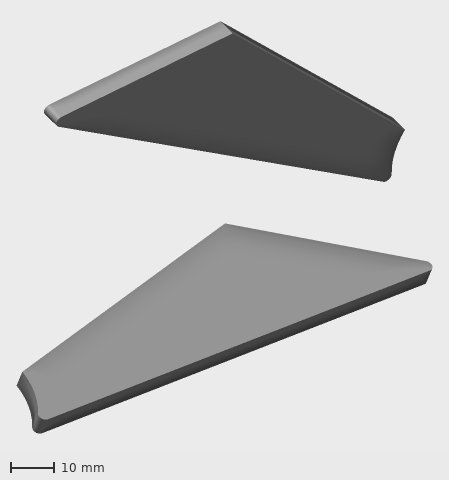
import cadquery as cq
import math

thickness = 5.0
length = 98.84
height = 71.87
top_edge_length = 50.0
rear_slope = 50.0
lower_slope = 36.8
tip_radius = 1.5
hollow_radius = 19.5


def polar(center, radius, degrees):
    """Point (y, z) on a circle, at an angle measured from +Y towards +Z."""
    angle = math.radians(degrees)
    return (center[0] + radius * math.cos(angle), center[1] + radius * math.sin(angle))


def bearing(start, end):
    """Direction from start to end, in degrees from +Y towards +Z."""
    return math.degrees(math.atan2(end[1] - start[1], end[0] - start[0]))


def hollow_center(rear_corner, bottom_center):
    """Centre of the concave arc that meets the rear corner and is tangent to the bottom tip."""
    to_corner = hollow_radius
    to_bottom = hollow_radius + tip_radius
    span = math.dist(rear_corner, bottom_center)
    cosine = (span**2 + to_corner**2 - to_bottom**2) / (2 * span * to_corner)
    turn = math.degrees(math.acos(cosine))
    return polar(rear_corner, to_corner, bearing(rear_corner, bottom_center) + turn)


def plate_outline():
    """Closed outline in the YZ plane: front tip at Y = 0, bottom tip at Z = 0."""
    top_corner = (top_edge_length, height)
    rear_drop = (length - top_edge_length) * math.tan(math.radians(rear_slope))
    rear_corner = (length, height - rear_drop)

    front_center = (tip_radius, height - tip_radius)
    center_drop = height - 2 * tip_radius
    center_run = center_drop / math.tan(math.radians(lower_slope))
    bottom_center = (tip_radius + center_run, tip_radius)
    lower_normal = -90 - lower_slope

    arc_center = hollow_center(rear_corner, bottom_center)
    tangent_bearing = bearing(bottom_center, arc_center)
    hollow_end = polar(bottom_center, tip_radius, tangent_bearing)
    start_bearing = bearing(arc_center, rear_corner) % 360
    end_bearing = bearing(arc_center, hollow_end) % 360
    hollow_middle = polar(arc_center, hollow_radius, (start_bearing + end_bearing) / 2)

    bottom_middle = polar(bottom_center, tip_radius, -90)
    bottom_end = polar(bottom_center, tip_radius, lower_normal)
    front_start = polar(front_center, tip_radius, lower_normal)
    front_middle = polar(front_center, tip_radius, 180)
    front_end = polar(front_center, tip_radius, 90)

    return (
        cq.Workplane("YZ")
        .moveTo(*top_corner)
        .lineTo(*rear_corner)
        .threePointArc(hollow_middle, hollow_end)
        .threePointArc(bottom_middle, bottom_end)
        .lineTo(*front_start)
        .threePointArc(front_middle, front_end)
        .close()
    )


result = plate_outline().extrude(thickness / 2, both=True)